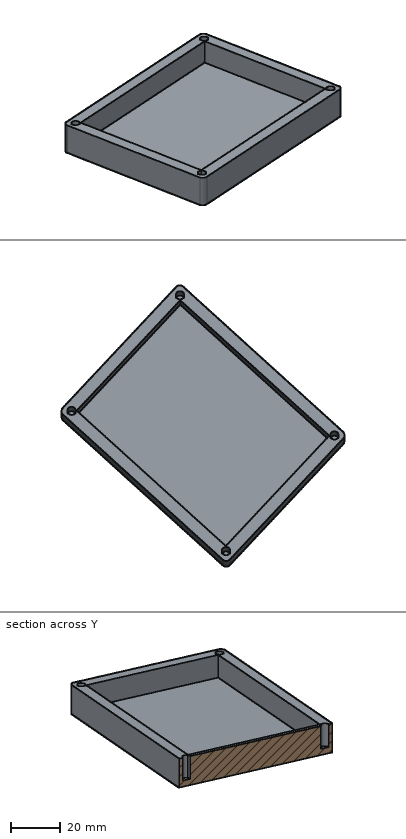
import cadquery as cq

length_x = 71.9
length_y = 92.3
height = 13.0
corner_radius = 2.0

wall = 5.0
floor = 2.95

hole_diameter = 3.4
hole_inset = 3.5
hole_depth = height - floor


def make_block():
    """Solid block with rounded vertical edges, standing on Z = 0."""
    block = cq.Workplane("XY").box(length_x, length_y, height, centered=(True, True, False))
    return block.edges("|Z").fillet(corner_radius)


def make_pocket():
    """Sharp-cornered pocket volume, from the floor up to the rim."""
    return (
        cq.Workplane("XY")
        .workplane(offset=floor)
        .rect(length_x - 2 * wall, length_y - 2 * wall)
        .extrude(height - floor)
    )


def make_screw_holes():
    """Four flat-bottomed hole volumes, reaching down from the rim."""
    return (
        cq.Workplane("XY")
        .workplane(offset=height - hole_depth)
        .rect(length_x - 2 * hole_inset, length_y - 2 * hole_inset, forConstruction=True)
        .vertices()
        .circle(hole_diameter / 2)
        .extrude(hole_depth)
    )


result = make_block().cut(make_pocket()).cut(make_screw_holes())